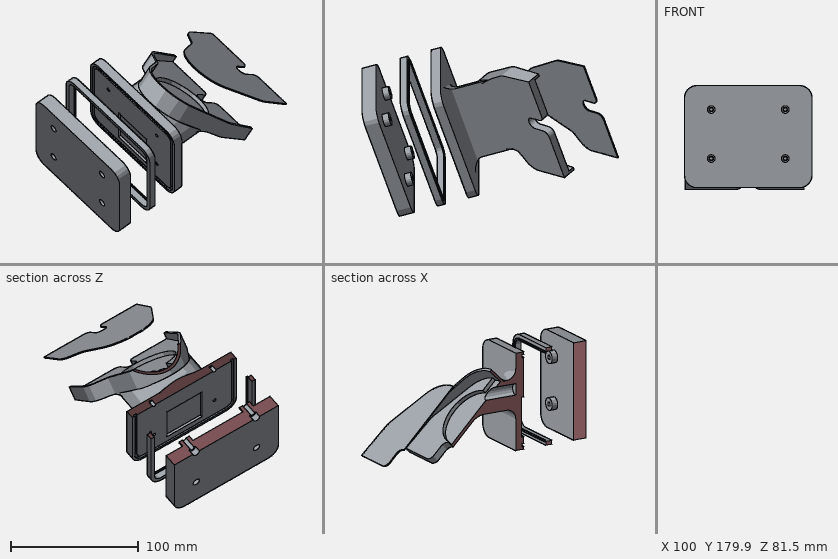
import cadquery as cq
import math

plate_width = 100.0
plate_height = 80.0
corner_radius = 10.0

overall_length = 179.9

cover_thickness = 11.5
boss_length = 5.0
gasket_front = 31.3
gasket_thickness = 5.5
gasket_lip = 0.9
housing_front = 56.7
housing_thickness = 7.7

screw_spacing_x = 58.0
screw_spacing_z = 38.3
screw_center_z = 2.0
boss_diameter = 10.0
screw_clearance = 3.5
screw_head_diameter = 6.0
screw_head_depth = 5.4
pilot_diameter = 2.7
pilot_depth = 5.4

gasket_wall = 3.5
lip_outer_inset = 2.9
lip_inner_inset = 4.3

groove_outer_inset = 2.3
groove_inner_inset = 4.7
groove_depth = 1.5
pocket_width = 33.5
pocket_height = 32.4
pocket_depth = 2.2
pocket_top_z = 2.9

neck_radius = 34.7
neck_top_z = 19.0
neck_bottom_z = -5.8
neck_root_fillet = 8.1
neck_tray_fillet = 15.0

tray_tilt = math.radians(45)
lid_thickness = 1.0
lid_offset_y = 40.0
tray_end_z = -37.0
tray_wall = 2.2
tray_base = 6.3
rim_height_at_end = 5.0
rim_slope = math.radians(3.4)
notch_width = 10.0
notch_depth = 19.0
notch_mouth_radius = 5.0
recess_diameter = 50.0
recess_distance = 45.0
recess_depth = 3.5
cable_slot_width = 13.0
cable_bore_diameter = 9.0
cable_bore_z = 10.3

left_end_x = -47.1
right_end_x = 41.7
floor_corners = [
    (-47.9, 36.3, 12.6),
    (-33.3, 46.0, 5.4),
    (-1.0, 122.5, 26.5),
    (39.8, 31.7, 14.4),
]
floor_length = 82.7
cable_bore_length = 27.9

tool_size = 539.7
tolerance = 0.002
tray_span = 108.0
blend_reach = 19.8
neck_bar_length = 179.9
blend_neck_start = -36.0

screw_points = [
    (side * screw_spacing_x / 2, screw_center_z + level * screw_spacing_z / 2)
    for side in (-1, 1)
    for level in (-1, 1)
]
housing_back = housing_front + housing_thickness
tray_end_y = overall_length - lid_offset_y - lid_thickness * math.cos(tray_tilt)
neck_axis_z = neck_top_z - neck_radius

tray_plane = cq.Plane(
    origin=(0, tray_end_y, tray_end_z),
    xDir=(1, 0, 0),
    normal=(0, math.sin(tray_tilt), math.cos(tray_tilt)),
)


def rounded_block(front, thickness, inset=0.0):
    """Rounded rectangular slab between two Y positions, inset from the shared outline."""
    return (
        cq.Workplane("XZ", origin=(0, front, 0))
        .rect(plate_width - 2 * inset, plate_height - 2 * inset)
        .extrude(-thickness)
        .edges("|Y")
        .fillet(corner_radius - inset)
    )


def rounded_ring(front, thickness, outer_inset, inner_inset):
    """Frame between two insets of the shared outline."""
    return rounded_block(front, thickness, outer_inset).cut(rounded_block(front, thickness, inner_inset))


def rods(points, diameter, front, length):
    """Cylinders along +Y at the given (x, z) points."""
    return cq.Workplane("XZ", origin=(0, front, 0)).pushPoints(points).circle(diameter / 2).extrude(-length)


def corner_arc(before, corner, after, radius):
    """Start, middle and end of the arc that rounds one corner."""
    to_before = (cq.Vector(*before) - cq.Vector(*corner)).normalized()
    to_after = (cq.Vector(*after) - cq.Vector(*corner)).normalized()
    half_angle = to_before.getAngle(to_after) / 2
    reach = radius / math.tan(half_angle)
    bisector = (to_before + to_after).normalized()
    peak = radius / math.sin(half_angle) - radius
    tip = cq.Vector(*corner)
    return tip + to_before * reach, tip + bisector * peak, tip + to_after * reach


def floor_outline(open_end=0.0):
    """Outline of the tray floor, starting the given distance beyond the open end."""
    points = [(left_end_x, open_end)]
    points += [(x, -distance) for x, distance, _ in floor_corners]
    points += [(right_end_x, open_end)]
    outline = cq.Workplane(tray_plane).moveTo(*points[0])
    for index, (_, _, radius) in enumerate(floor_corners, start=1):
        start, middle, end = corner_arc(points[index - 1], points[index], points[index + 1], radius)
        outline = outline.lineTo(start.x, start.y).threePointArc((middle.x, middle.y), (end.x, end.y))
    return outline.lineTo(*points[-1]).close()


def end_notch(bottom, height):
    """Cutter for the round-bottomed notch in the open end, with its mouth rounded outwards."""
    half = notch_width / 2
    mouth = half + notch_mouth_radius
    mouth_arc = notch_mouth_radius * (1 - math.sqrt(0.5))
    return (
        cq.Workplane(tray_plane)
        .workplane(offset=bottom)
        .moveTo(-mouth, 0)
        .threePointArc((-half - mouth_arc, -mouth_arc), (-half, -notch_mouth_radius))
        .lineTo(-half, half - notch_depth)
        .threePointArc((0, -notch_depth), (half, half - notch_depth))
        .lineTo(half, -notch_mouth_radius)
        .threePointArc((half + mouth_arc, -mouth_arc), (mouth, 0))
        .close()
        .extrude(height)
    )


def make_cover():
    body = rounded_block(0, cover_thickness)
    body = body.union(rods(screw_points, boss_diameter, cover_thickness, boss_length))
    body = body.cut(rods(screw_points, screw_clearance, 0, cover_thickness + boss_length))
    return body.cut(rods(screw_points, screw_head_diameter, 0, screw_head_depth))


def make_gasket():
    frame = rounded_ring(gasket_front, gasket_thickness, 0, gasket_wall)
    lip = rounded_ring(gasket_front + gasket_thickness, gasket_lip, lip_outer_inset, lip_inner_inset)
    return frame.union(lip)


def make_tray_envelope():
    """Outer outline of the tray, from the deepest blend under it up to its sloping rim."""
    neck_rim = rim_height_at_end + tray_span * math.tan(rim_slope)
    side_plane = cq.Plane(origin=tray_plane.origin, xDir=-tray_plane.yDir, normal=(-1, 0, 0))
    side_profile = [
        (0, -blend_reach),
        (tray_span, -blend_reach),
        (tray_span, neck_rim),
        (0, rim_height_at_end),
    ]
    side_slice = cq.Workplane(side_plane).polyline(side_profile).close().extrude(plate_width, both=True)
    return floor_outline(tray_wall).offset2D(tray_wall).extrude(tray_span, both=True).intersect(side_slice)


def make_neck(front):
    """Cylinder with a flat underside, from the given Y to the underside of the tray."""
    round_bar = (
        cq.Workplane("XZ", origin=(0, front, 0))
        .center(0, neck_axis_z)
        .circle(neck_radius)
        .extrude(-neck_bar_length)
    )
    flat = cq.Workplane("XY", origin=(0, front, neck_bottom_z))
    above_flat = flat.rect(tool_size, tool_size).extrude(neck_radius)
    underside = cq.Workplane(tray_plane).workplane(offset=-tray_base)
    below_tray = underside.rect(tool_size, tool_size).extrude(-tool_size)
    return round_bar.intersect(above_flat).intersect(below_tray)


def lies_on_tray_underside(edge):
    """True for the edges where the neck meets the underside of the wide tray slab."""
    on_underside = all(
        abs(tray_plane.toLocalCoords(point).z + tray_base) < tolerance
        for point in edge.positions([0, 0.25, 0.75, 1])
    )
    return on_underside and edge.BoundingBox().DiagonalLength < tool_size / 2


def make_tray_blank():
    """Tray without its hollow, with the neck blended into its underside."""
    underside = cq.Workplane(tray_plane).workplane(offset=-tray_base)
    slab = underside.rect(tool_size, tool_size).extrude(tray_span)
    joined = slab.union(make_neck(blend_neck_start))
    junction = [edge for edge in joined.edges().vals() if lies_on_tray_underside(edge)]
    blended = cq.Workplane(joined.val().fillet(neck_tray_fillet, junction))
    return blended.intersect(make_tray_envelope())


def make_lid():
    seated_lid = floor_outline().extrude(lid_thickness).cut(end_notch(0, lid_thickness))
    return seated_lid.translate((0, lid_offset_y, 0))


def cut_front(body):
    """Gasket groove, rectangular pocket and screw pilot holes in the front of the plate."""
    groove = rounded_ring(housing_front, groove_depth, groove_outer_inset, groove_inner_inset)
    pocket = (
        cq.Workplane("XZ", origin=(0, housing_front, pocket_top_z - pocket_height / 2))
        .rect(pocket_width, pocket_height)
        .extrude(-pocket_depth)
    )
    pilots = rods(screw_points, pilot_diameter, housing_front, pilot_depth)
    return body.cut(groove).cut(pocket).cut(pilots)


def cut_tray(body):
    """Hollow of the tray, round recess, cable slot and bore, and the notch in the open end."""
    hollow = floor_outline(tray_wall).extrude(tray_span)
    recess = (
        cq.Workplane(tray_plane)
        .center(0, -recess_distance)
        .circle(recess_diameter / 2)
        .extrude(-recess_depth)
    )
    slot_length = floor_length - recess_distance
    cable_slot = (
        cq.Workplane(tray_plane)
        .center(0, -recess_distance - slot_length / 2)
        .rect(cable_slot_width, slot_length)
        .extrude(-recess_depth)
        .intersect(floor_outline().extrude(-recess_depth))
    )
    cable_bore = rods([(0, cable_bore_z)], cable_bore_diameter, housing_back, cable_bore_length)
    notch = end_notch(-tray_base, tray_base)
    return body.cut(hollow).cut(recess).cut(cable_slot).cut(cable_bore).cut(notch)


def make_housing():
    plate = rounded_block(housing_front, housing_thickness).union(make_neck(housing_back))
    root_zone = cq.selectors.BoxSelector(
        (-neck_radius, housing_back - tolerance, neck_axis_z),
        (neck_radius, housing_back + tolerance, neck_top_z),
    )
    body = plate.edges(root_zone).fillet(neck_root_fillet).union(make_tray_blank())
    return cut_tray(cut_front(body))


cover = make_cover()
gasket = make_gasket()
housing = make_housing()
lid = make_lid()
result = cq.Compound.makeCompound([cover.val(), gasket.val(), housing.val(), lid.val()])